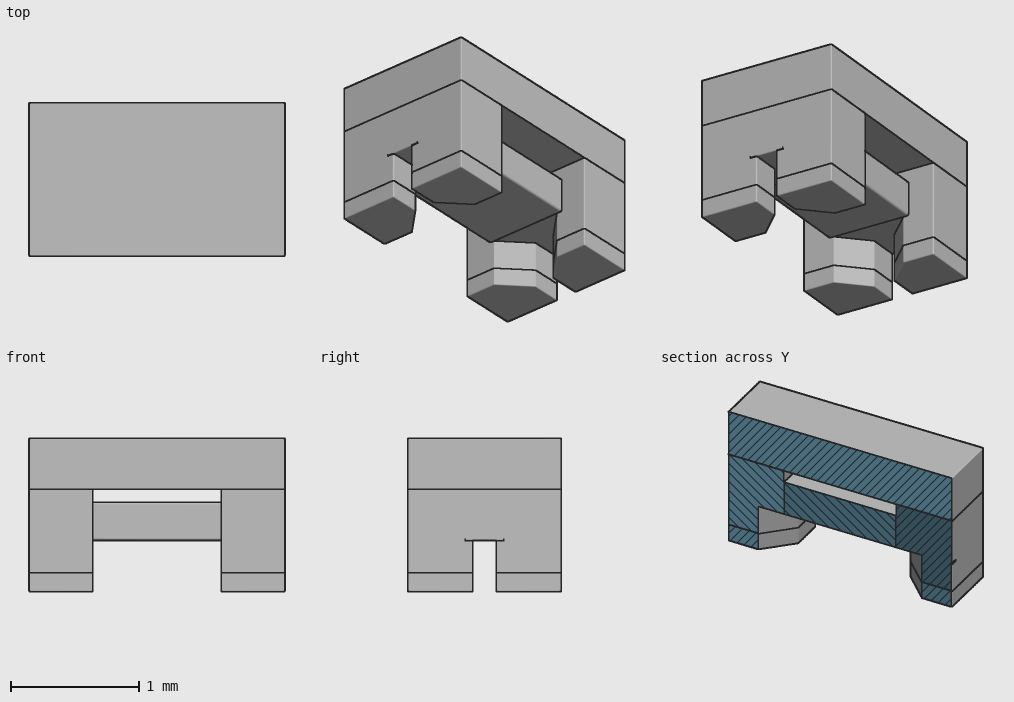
import cadquery as cq
import math

length = 2.0
width = 1.2
height = 1.2

plate_thickness = 0.4
foot_height = 0.15
flange_length = 0.5
slot_width = 0.18
slot_top = 0.4
leg_corner_cut = 0.23

bar_width = 0.74
bar_height = 0.3

edge_radius = 0.01
bar_radius = 0.02
ceiling_round_width = 0.3

flange_top = height - plate_thickness
outer_x = length / 2
inner_x = outer_x - flange_length
outer_y = width / 2
slot_y = slot_width / 2


def extrude_leg(side_x, side_y, bottom, top):
    """Leg between two levels; its corner facing the middle of the part is cut off at 45 degrees."""
    plan = [
        (outer_x, outer_y),
        (outer_x, slot_y),
        (inner_x + leg_corner_cut, slot_y),
        (inner_x, slot_y + leg_corner_cut),
        (inner_x, outer_y),
    ]
    corners = [(side_x * x, side_y * y) for x, y in plan]
    return cq.Workplane("XY").workplane(offset=bottom).polyline(corners).close().extrude(top - bottom)


def make_plate():
    """Lid across both flanges, with its top rim and upright corners rounded."""
    plate = cq.Workplane("XY").box(length, width, plate_thickness, centered=(True, True, False))
    return plate.translate((0, 0, flange_top)).edges("|Z or >Z").fillet(edge_radius)


def make_ceiling_round(side_x):
    """Strip to cut away so that the outer rim of the slot ceiling is rounded."""
    start_x = outer_x - edge_radius
    arc_reach = edge_radius * math.sin(math.radians(45))
    arc_middle_x = start_x + arc_reach
    arc_middle_z = slot_top + edge_radius - arc_reach
    return (
        cq.Workplane("XZ", origin=(0, ceiling_round_width / 2, 0))
        .moveTo(side_x * outer_x, slot_top)
        .lineTo(side_x * start_x, slot_top)
        .threePointArc((side_x * arc_middle_x, arc_middle_z), (side_x * outer_x, slot_top + edge_radius))
        .close()
        .extrude(ceiling_round_width)
    )


def make_flange(side_x):
    """End block on two legs, with its upright edges and the slot ceiling rim rounded."""
    block_height = flange_top - slot_top
    flange = cq.Workplane("XY").box(flange_length, width, block_height, centered=(True, True, False))
    flange = flange.translate((side_x * (inner_x + outer_x) / 2, 0, slot_top))
    for side_y in (-1, 1):
        flange = flange.union(extrude_leg(side_x, side_y, foot_height, slot_top))
    flange = flange.clean().edges("|Z").fillet(edge_radius)
    return flange.cut(make_ceiling_round(side_x))


def make_bar():
    """Flat bar between the inner flange faces, level with the slot ceiling and rounded lengthwise."""
    bar = cq.Workplane("XY").box(2 * inner_x, bar_width, bar_height, centered=(True, True, False))
    return bar.translate((0, 0, slot_top)).edges("|X").fillet(bar_radius)


def make_foot(side_x, side_y):
    """Pad under one leg, with its bottom rim and upright edges rounded."""
    return extrude_leg(side_x, side_y, 0, foot_height).edges("|Z or <Z").fillet(edge_radius)


plate = make_plate()
bar = make_bar()
flanges = [make_flange(side_x) for side_x in (-1, 1)]
feet = [make_foot(side_x, side_y) for side_x in (-1, 1) for side_y in (-1, 1)]

bodies = [plate, bar, *flanges, *feet]
result = cq.Compound.makeCompound([body.solids().val() for body in bodies])